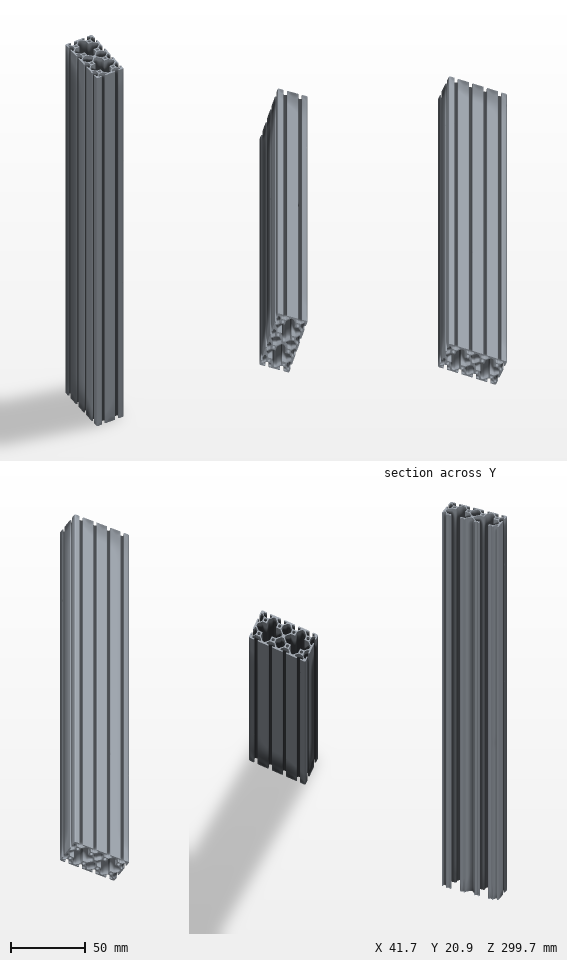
import cadquery as cq

length = 299.7
width = 41.7
depth = width / 2
pitch = width / 4
corner_radius = 0.8

slot_gap = 2.52
lip_thickness = 0.87
lip_radius = 0.45
half_rib = 2.13
channel_side = 1.85
groove_width = 1.32
groove_depth = 0.15

half_core = 1.83
hole_diameter = 2.13

wall_thickness = 1.38
node_thickness = 1.2
lobe_flat = 0.72

half_space = pitch / 2 - half_core
shoulder_drop = half_space - lobe_flat
floor_depth = (depth - pitch) / 2 - half_core
half_channel = pitch / 2 - half_rib
outer_tip = depth / 2 - wall_thickness
inner_tip = pitch - node_thickness
column_places = [pitch * (i - 1.5) for i in range(4)]
row_places = [pitch * (i - 0.5) for i in range(2)]


def slot_cutter():
    """T-slot that opens towards +Y, with the outer surface at Y = 0."""
    half_gap = slot_gap / 2
    half_floor = half_channel - (floor_depth - channel_side)
    half_groove = groove_width / 2
    mouth = half_gap + lip_radius
    bulge = lip_radius * (1 - 0.5**0.5)
    return (
        cq.Workplane("XY")
        .moveTo(mouth, 0)
        .threePointArc((half_gap + bulge, -bulge), (half_gap, -lip_radius))
        .lineTo(half_gap, -lip_thickness)
        .lineTo(half_channel, -lip_thickness)
        .lineTo(half_channel, -channel_side)
        .lineTo(half_floor, -floor_depth)
        .lineTo(half_groove, -floor_depth)
        .threePointArc((0, -floor_depth - groove_depth), (-half_groove, -floor_depth))
        .lineTo(-half_floor, -floor_depth)
        .lineTo(-half_channel, -channel_side)
        .lineTo(-half_channel, -lip_thickness)
        .lineTo(-half_gap, -lip_thickness)
        .lineTo(-half_gap, -lip_radius)
        .threePointArc((-half_gap - bulge, -bulge), (-mouth, 0))
        .close()
        .extrude(length)
    )


def cross_cavity():
    """Plus-shaped cavity between four cores; all lobes but the +X one end at an outer wall."""
    points = []
    for turn, tip in enumerate((outer_tip, outer_tip, outer_tip, inner_tip)):
        lobe = [
            (half_space, half_space),
            (half_space, tip - shoulder_drop),
            (lobe_flat, tip),
            (-lobe_flat, tip),
            (-half_space, tip - shoulder_drop),
        ]
        for _ in range(turn):
            lobe = [(-y, x) for x, y in lobe]
        points += lobe
    return cq.Workplane("XY").polyline(points).close().extrude(length)


def bridge_cavity():
    """Eight-sided cavity on the middle plane, between the +Y wall and the centre of the profile."""
    right = [
        (lobe_flat, node_thickness),
        (half_space, node_thickness + shoulder_drop),
        (half_space, outer_tip - shoulder_drop),
        (lobe_flat, outer_tip),
    ]
    left = [(-x, y) for x, y in reversed(right)]
    return cq.Workplane("XY").polyline(right + left).close().extrude(length)


cutters = []

slot = slot_cutter()
for x in column_places:
    long_side_slot = slot.translate((x, depth / 2, 0))
    cutters += [long_side_slot, long_side_slot.mirror("XZ")]
for y in row_places:
    short_side_slot = slot.rotate((0, 0, 0), (0, 0, 1), -90).translate((width / 2, y, 0))
    cutters += [short_side_slot, short_side_slot.mirror("YZ")]

left_cross = cross_cavity().translate((-pitch, 0, 0))
back_bridge = bridge_cavity()
cutters += [left_cross, left_cross.mirror("YZ"), back_bridge, back_bridge.mirror("XZ")]

hole = cq.Workplane("XY").circle(hole_diameter / 2).extrude(length)
cutters += [hole.translate((x, y, 0)) for x in column_places for y in row_places]

bar = cq.Workplane("XY").rect(width, depth).extrude(length).edges("|Z").fillet(corner_radius)
result = cq.Workplane(bar.val().cut(*[cutter.val() for cutter in cutters]))